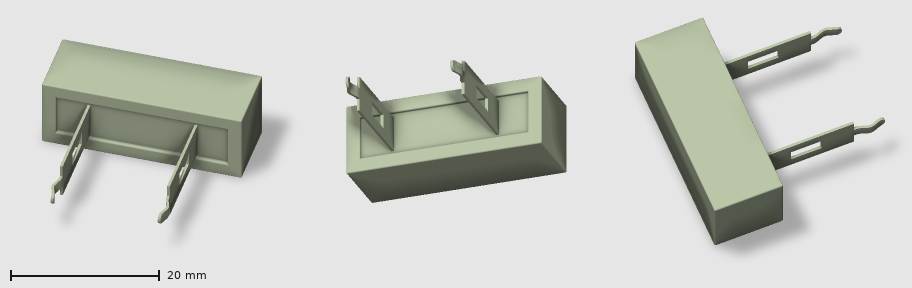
import cadquery as cq

housing_width = 28
housing_depth = 10.0
housing_height = 10.0
edge_radius = 0.2

rim_width = 1.8
recess_depth = 0.5
recess_mouth_radius = 0.2
recess_floor_radius = 0.1
recess_width = housing_width - 2 * (rim_width + recess_mouth_radius)
recess_height = housing_height - 2 * (rim_width + recess_mouth_radius)

terminal_spacing = 15.0
terminal_thickness = 0.4
terminal_reach = 17.5
blade_reach = 13.0
blade_height = 5.0
window_length = 4.5
window_height = 2.0
window_centre = 6.0

tongue_height = 1.57
wave_offset = 0.5
wave_foot_offset = 0.08
wave_foot_distance = 0.85


def make_housing():
    """Rounded box with a recess whose mouth and floor corners are rounded."""
    box = (
        cq.Workplane("XY")
        .box(housing_width, housing_depth, housing_height)
        .translate((0, housing_depth / 2, 0))
    )
    recess = (
        cq.Workplane("XY")
        .box(recess_width, recess_depth, recess_height)
        .translate((0, recess_depth / 2, 0))
    )
    recess = recess.faces(">Y").edges().fillet(recess_floor_radius)
    rounded_box = box.edges().fillet(edge_radius)
    housing = rounded_box.cut(recess)

    half_width = (housing_width - rim_width) / 2
    half_height = (housing_height - rim_width) / 2
    mouth = cq.selectors.BoxSelector(
        (-half_width, -edge_radius, -half_height),
        (half_width, edge_radius, half_height),
    )
    return housing.faces("<Y").edges(mouth).fillet(recess_mouth_radius)


def make_blade(outer_x):
    """Rectangular plate with a window, its outer face at -X."""
    length = blade_reach + recess_depth
    blade = (
        cq.Workplane("XY")
        .box(terminal_thickness, length, blade_height)
        .translate((outer_x + terminal_thickness / 2, length / 2 - blade_reach, 0))
    )
    window = (
        cq.Workplane("XY")
        .box(terminal_thickness, window_length, window_height)
        .translate((outer_x + terminal_thickness / 2, -window_centre, 0))
    )
    return blade.cut(window)


def make_tongue(outer_x):
    """Strip that waves outwards and back, with a round tip."""
    root_y = -blade_reach
    tip_y = -terminal_reach
    wave = [
        (outer_x, root_y),
        (outer_x - wave_foot_offset, root_y - wave_foot_distance),
        (outer_x - wave_offset, (root_y + tip_y) / 2),
        (outer_x - wave_foot_offset, tip_y + wave_foot_distance),
        (outer_x, tip_y),
    ]
    opposite_wave = [(x + terminal_thickness, y) for x, y in reversed(wave)]
    towards_tip = (0, -1)
    towards_root = (0, 1)
    strip = (
        cq.Workplane("XY", origin=(0, 0, -tongue_height / 2))
        .moveTo(*wave[0])
        .spline(wave[1:], tangents=[towards_tip, towards_tip], includeCurrent=True)
        .lineTo(*opposite_wave[0])
        .spline(opposite_wave[1:], tangents=[towards_root, towards_root], includeCurrent=True)
        .close()
        .extrude(tongue_height)
    )

    tip_radius = tongue_height / 2
    side_outline = (
        cq.Workplane("YZ")
        .moveTo(root_y, -tip_radius)
        .lineTo(tip_y + tip_radius, -tip_radius)
        .threePointArc((tip_y, 0), (tip_y + tip_radius, tip_radius))
        .lineTo(root_y, tip_radius)
        .close()
        .extrude(housing_width, both=True)
    )
    return strip.intersect(side_outline)


left_face_x = -(terminal_spacing + terminal_thickness) / 2
left_terminal = make_blade(left_face_x).union(make_tongue(left_face_x))
right_terminal = left_terminal.mirror("YZ")

result = make_housing().union(left_terminal).union(right_terminal)